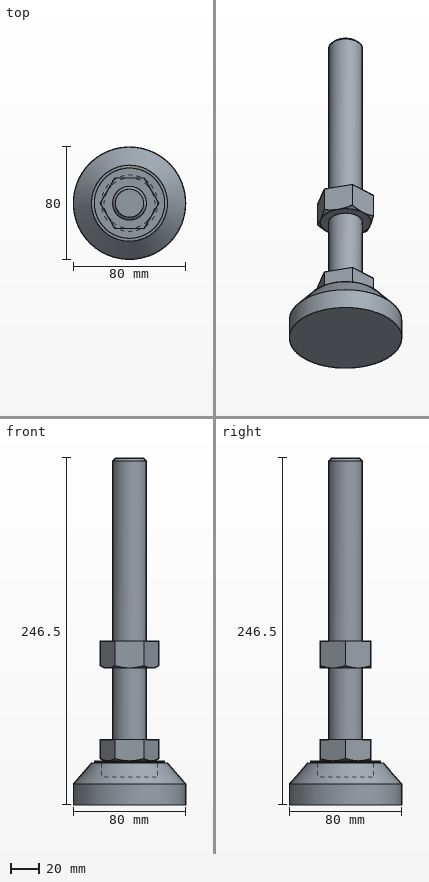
import cadquery as cq
import math

base_radius = 40.0
base_rim_height = 15.0
base_height = 30.0
base_top_radius = 27.0

total_height = 246.5
rod_radius = 12.0
rod_chamfer = 2.0
neck_radius = 20.0
neck_depth = 10.0
flange_radius = 25.0
flange_gap = 0.5
flange_top = 31.5
hex_across_flats = 36.0
lower_hex_height = 15.0
nut_bottom = 97.5
nut_height = 19.0
hex_chamfer_angle = 30.0

neck_bottom = base_height - neck_depth
flange_bottom = base_height + flange_gap
hex_flat_radius = hex_across_flats / 2
hex_corner_radius = hex_flat_radius / math.cos(math.pi / 6)


def cylinder(radius, bottom, top):
    """Upright cylinder on the Z axis."""
    return cq.Workplane("XY").workplane(offset=bottom).circle(radius).extrude(top - bottom)


def hexagon(bottom, height):
    """Hexagonal prism with corners on the X axis and its lower corners chamfered by a cone."""
    prism = cq.Workplane("XY").workplane(offset=bottom).polygon(6, 2 * hex_corner_radius).extrude(height)
    slope = math.tan(math.radians(hex_chamfer_angle))
    cone_radius = hex_flat_radius + height / slope
    turned_cone = (
        cq.Workplane("XZ")
        .moveTo(0, bottom)
        .lineTo(hex_flat_radius, bottom)
        .lineTo(cone_radius, bottom + height)
        .lineTo(0, bottom + height)
        .close()
        .revolve(360, (0, 0), (0, 1))
    )
    return prism.intersect(turned_cone)


def make_base():
    """Round base with a conical shoulder and a blind socket for the spindle neck."""
    body = (
        cq.Workplane("XZ")
        .lineTo(base_radius, 0)
        .lineTo(base_radius, base_rim_height)
        .lineTo(base_top_radius, base_height)
        .lineTo(0, base_height)
        .close()
        .revolve(360, (0, 0), (0, 1))
    )
    return body.cut(cylinder(neck_radius, neck_bottom, base_height))


def make_spindle():
    """Chamfered rod with its neck, flange and two hexagons in one piece."""
    rod = cylinder(rod_radius, flange_top, total_height).faces(">Z").chamfer(rod_chamfer)
    neck = cylinder(neck_radius, neck_bottom, flange_bottom)
    flange = cylinder(flange_radius, flange_bottom, flange_top)
    lower_hex = hexagon(flange_top, lower_hex_height)
    nut = hexagon(nut_bottom, nut_height)
    return neck.union(flange).union(lower_hex).union(rod).union(nut)


base = make_base().solids()
spindle = make_spindle().solids()

result = cq.Compound.makeCompound([base.val(), spindle.val()])